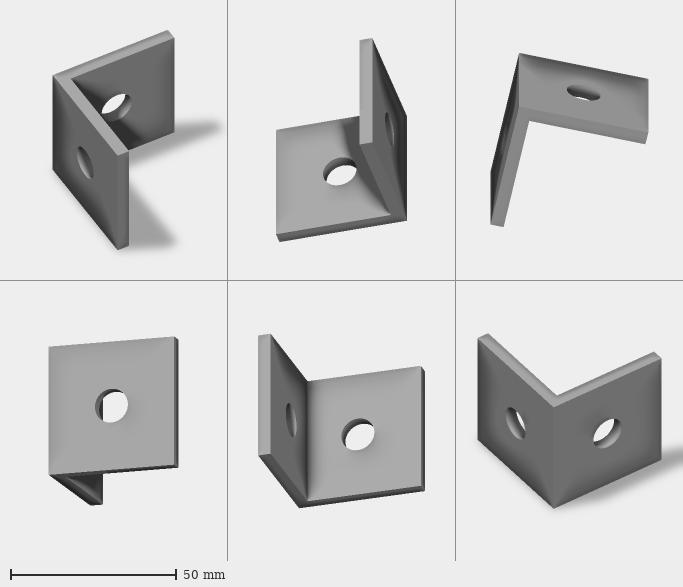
import cadquery as cq

leg_length = 40.0
height = 40.0
thickness = 4.0
hole_diameter = 10.5

bracket = (
    cq.Workplane("XY")
    .moveTo(0, 0)
    .lineTo(leg_length, 0)
    .lineTo(leg_length, thickness)
    .lineTo(thickness, thickness)
    .lineTo(thickness, leg_length)
    .lineTo(0, leg_length)
    .close()
    .extrude(height)
)


def leg_hole(center, direction):
    """Cylinder through one leg, starting at the center of its outer face."""
    return cq.Workplane(cq.Solid.makeCylinder(
        hole_diameter / 2, thickness, cq.Vector(*center), cq.Vector(*direction)
    ))


front_hole = leg_hole((leg_length / 2, 0, height / 2), (0, 1, 0))
side_hole = leg_hole((0, leg_length / 2, height / 2), (1, 0, 0))

result = bracket.cut(front_hole).cut(side_hole)